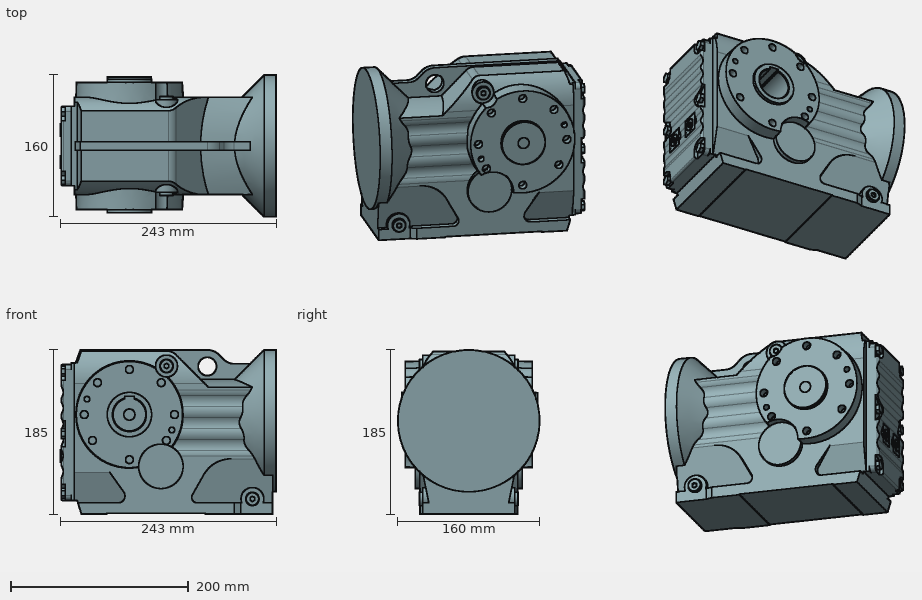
import cadquery as cq
import math


half_width = 55.0
front_x = -62.0
rear_x = 161.4
base_z = -112.0
top_z = 71.2
ledge_z = 58.0
ledge_x = -58.8
foot_top_z = -97.0
foot_front_x = -54.2
roof_front_x = -54.2
roof_half_width = 39.5
shoulder_z = 35.2
shoulder_radius = 50.0
roof_end_x = 48.5
roof_end_radius = 11.7
neck_start_x = 73.0
neck_edge_z = 30.9
neck_crown_z = 39.5
base_relief = 0.7
base_relief_start_x = -25.3
base_relief_end_x = 85.5

pocket_bottom_z = -99.5
pocket_depth = 10.0
front_pocket_top_z = -65.1
front_pocket_top_x = -22.0
front_pocket_bottom_x = 2.5
front_pocket_corner_radius = 7.8
rear_pocket_top_z = -49.8
rear_pocket_top_x = 93.8
rear_pocket_bottom_x = 65.9
rear_pocket_corner_radius = 6.0
rear_pocket_arc_radius = 35.2
foot_step = 3.0
foot_step_start_x = 118.0
foot_step_end_x = 125.5
foot_step_top_z = -85.0

side_wave_top_z = 28.0
side_wave_pitch = 24.8
side_wave_depth = 3.0
side_wave_count = 3
side_wave_start_x = 36.5

flange_z = -7.0
flange_radius = 80.0
flange_front_x = 151.6
flange_rear_x = 165.2
cone_small_radius = 39.0

lug_thickness = 10.0
lug_top_z = 73.0
lug_front_x = -60.8
lug_top_front_x = -55.2
lug_low_z = 57.3
lug_end_x = 137.5
lug_hole_x = 87.7
lug_hole_radius = 10.2
lug_fillet_radius = 16.0
lug_outer_radius = 18.7
lug_hole_z = lug_top_z - lug_outer_radius

boss_radius = 59.8
boss_face_y = 71.7
boss_draft = 2.0
hub_radius = 25.0
hub_face_y = 75.3
cap_face_y = 77.8
cap_radius = hub_radius - 0.2
cap_dimple_radius = 6.3
cap_dimple_depth = 1.2
bore_radius = 18.5
bore_chamfer = 0.7
key_width = 10.5
key_top_z = 21.0
bolt_circle_radius = 50.8
tapped_hole_radius = 4.4
tapped_hole_angles = (-145, -90, -35, 0, 45, 90, 135, 180)
pin_hole_radius = 3.2
pin_hole_angles = (-20, 160)
boss_hole_depth = 12.2

disc_x = 35.5
disc_z = -58.3
disc_radius = 25.0
disc_face_y = 60.5
plug_face_y = 56.0
plug_radius = 7.5
plug_chamfer = 0.5
socket_width = 5.0
socket_depth = 2.0
plug_seat_y = half_width - foot_step
upper_plug_x = 41.8
upper_plug_z = 54.7
upper_seat_radius = 12.5
lower_plug_x = 138.5
lower_plug_z = -95.0
lower_seat_radius = 13.0

cover_half_width = 45.0
cover_plate_x = -65.5
cover_top_z = 56.5
cover_face_x = -76.8
cover_corner_radius = 5.8
cover_edge_radius = 2.5
cover_wave_top_z = 34.0
cover_wave_low_z = -73.1
cover_wave_depth = 2.2
cover_wave_count = 6
cover_wave_pitch = (cover_wave_top_z - cover_wave_low_z) / cover_wave_count
cover_bolt_y = 38.5
cover_bolt_top_z = 48.8
cover_bolt_mid_z = -21.6
cover_bolt_low_z = -88.7
bolt_width = 10.0
seat_x = -72.5
seat_radius = 10.0
mid_seat_half_height = 14.8
cover_plug_y = 18.2
cover_plug_z = -47.0
cover_plug_radius = 7.0
cover_plug_face_x = -77.8
pad_size = 21.5
pad_base_x = -73.0

margin = 12.2


def both_sides(solid):
    """The solid together with its mirror image across the mid-plane."""
    return solid.union(solid.mirror("XZ"))


def side_cylinder(x, z, radius, start_y, end_y):
    """Cylinder on the -Y side, between two distances from the mid-plane."""
    plane = cq.Workplane("XZ", origin=(0, -start_y, 0))
    return plane.center(x, z).circle(radius).extrude(end_y - start_y)


def hexagon(plane, width, length):
    """Hexagonal prism of a given width across flats, one corner upwards."""
    return plane.transformed(rotate=(0, 0, 90)).polygon(6, width / math.cos(math.pi / 6)).extrude(length)


def wave_groove(plane, locate, start, pitch, depth):
    """Outline of one rounded groove; locate(along, down) maps onto the sketch plane."""
    quarter = pitch / 4
    half_depth = depth / 2
    radius = (quarter**2 + half_depth**2) / depth
    half_angle = math.asin(quarter / radius) / 2
    run = radius * math.sin(half_angle)
    drop = radius * (1 - math.cos(half_angle))
    return (
        plane.moveTo(*locate(start, -margin))
        .lineTo(*locate(start, 0))
        .threePointArc(locate(start + run, drop), locate(start + quarter, half_depth))
        .threePointArc(locate(start + 2 * quarter, depth), locate(start + 3 * quarter, half_depth))
        .threePointArc(locate(start + pitch - run, drop), locate(start + pitch, 0))
        .lineTo(*locate(start + pitch, -margin))
        .close()
    )


def make_housing():
    """Sloped gear case with the lower, crowned neck behind it."""
    roof_tangent = roof_end_radius * math.tan(math.pi / 8)
    roof_drop = roof_end_radius * (1 - math.cos(math.pi / 4))
    slope_start = roof_end_x + roof_tangent * math.cos(math.pi / 4)
    roof_arc_x = roof_end_x - roof_tangent
    roof_mid = (
        roof_arc_x + roof_end_radius * math.sin(math.pi / 8),
        top_z - roof_end_radius * (1 - math.cos(math.pi / 8)),
    )
    slope_bottom_x = roof_end_x + top_z
    side_outline = (
        cq.Workplane("XZ", origin=(0, half_width, 0))
        .moveTo(front_x, foot_top_z)
        .lineTo(front_x, ledge_z)
        .lineTo(ledge_x, ledge_z)
        .lineTo(roof_front_x, top_z)
        .lineTo(roof_arc_x, top_z)
        .threePointArc(roof_mid, (slope_start, top_z - roof_drop))
        .lineTo(slope_bottom_x, 0)
        .lineTo(rear_x, 0)
        .lineTo(rear_x, base_z)
        .lineTo(base_relief_end_x, base_z)
        .lineTo(base_relief_end_x, base_z + base_relief)
        .lineTo(base_relief_start_x, base_z + base_relief)
        .lineTo(base_relief_start_x, base_z)
        .lineTo(foot_front_x, base_z)
        .lineTo(ledge_x, foot_top_z)
        .close()
        .extrude(2 * half_width)
    )
    cross_section = (
        cq.Workplane("YZ", origin=(front_x, 0, 0))
        .moveTo(-half_width, base_z)
        .lineTo(half_width, base_z)
        .lineTo(half_width, shoulder_z)
        .radiusArc((roof_half_width, top_z), -shoulder_radius)
        .lineTo(-roof_half_width, top_z)
        .radiusArc((-half_width, shoulder_z), -shoulder_radius)
        .close()
        .extrude(rear_x - front_x)
    )
    neck = (
        cq.Workplane("YZ", origin=(neck_start_x, 0, 0))
        .moveTo(-half_width, -margin)
        .lineTo(half_width, -margin)
        .lineTo(half_width, neck_edge_z)
        .threePointArc((0, neck_crown_z), (-half_width, neck_edge_z))
        .close()
        .extrude(rear_x - neck_start_x)
    )
    return side_outline.intersect(cross_section).union(neck)


def make_sloped_floor(top):
    """Wedge outside a floor that sinks from the side face at the given height."""
    return (
        cq.Workplane("YZ", origin=(front_x - margin, 0, 0))
        .moveTo(-half_width, top)
        .lineTo(pocket_depth - half_width, pocket_bottom_z)
        .lineTo(-half_width - margin, pocket_bottom_z)
        .lineTo(-half_width - margin, top)
        .close()
        .extrude(rear_x - front_x + 2 * margin)
    )


def make_pocket(end_x, top_x, bottom_x, top, corner_radius, top_radius=None):
    """Side pocket open at end_x, closed by a slanted wall with a rounded lower corner."""
    outline = (
        cq.Workplane("XZ")
        .polyline([(end_x, top), (top_x, top), (bottom_x, pocket_bottom_z), (end_x, pocket_bottom_z)])
        .close()
        .extrude(half_width + margin)
    )
    corner = cq.selectors.NearestToPointSelector((bottom_x, -half_width / 2, pocket_bottom_z))
    outline = outline.edges("|Y").edges(corner).fillet(corner_radius)
    if top_radius:
        corner = cq.selectors.NearestToPointSelector((top_x, -half_width / 2, top))
        outline = outline.edges("|Y").edges(corner).fillet(top_radius)
    return outline.intersect(make_sloped_floor(top))


def make_foot_step():
    """Shallow step with a bevelled start along the rear part of the foot."""
    return (
        cq.Workplane("XY", origin=(0, 0, base_z - margin))
        .moveTo(foot_step_start_x, -half_width)
        .lineTo(foot_step_end_x, -plug_seat_y)
        .lineTo(rear_x + margin, -plug_seat_y)
        .lineTo(rear_x + margin, -half_width - margin)
        .lineTo(foot_step_start_x, -half_width - margin)
        .close()
        .extrude(foot_step_top_z - base_z + margin)
    )


def make_side_waves():
    """Rounded grooves that run along the neck."""

    def locate(along, down):
        return (down - half_width, side_wave_top_z - along)

    waves = cq.Workplane("XY")
    for index in range(side_wave_count):
        plane = cq.Workplane("YZ", origin=(side_wave_start_x, 0, 0))
        groove = wave_groove(plane, locate, index * side_wave_pitch, side_wave_pitch, side_wave_depth)
        waves = waves.add(groove.extrude(rear_x - side_wave_start_x))
    return waves.combine()


def make_flange():
    """Round motor flange carried by a 45 degree cone."""
    cone_x = flange_front_x - (flange_radius - cone_small_radius)
    return (
        cq.Workplane("XZ")
        .moveTo(cone_x, flange_z)
        .lineTo(cone_x, flange_z + cone_small_radius)
        .lineTo(flange_front_x, flange_z + flange_radius)
        .lineTo(flange_rear_x, flange_z + flange_radius)
        .lineTo(flange_rear_x, flange_z)
        .close()
        .revolve(360, (0, flange_z, 0), (1, flange_z, 0))
    )


def make_lug():
    """Central lifting rib with an eye; its rear end drops at 45 degrees."""
    half = math.sin(math.pi / 8)
    full = math.sin(math.pi / 4)
    outer = lug_outer_radius
    inner = lug_fillet_radius
    slope_start = (lug_hole_x + outer * full, lug_hole_z + outer * full)
    slope_drop = slope_start[1] - lug_low_z - inner * (1 - full)
    slope_end = (slope_start[0] + slope_drop, slope_start[1] - slope_drop)
    fillet_end_x = slope_end[0] + inner * full
    outer_mid = (lug_hole_x + outer * half, lug_hole_z + outer * math.cos(math.pi / 8))
    inner_mid = (fillet_end_x - inner * half, lug_low_z + inner * (1 - math.cos(math.pi / 8)))
    plate = (
        cq.Workplane("XZ", origin=(0, lug_thickness / 2, 0))
        .moveTo(lug_front_x, ledge_z)
        .lineTo(lug_top_front_x, lug_top_z)
        .lineTo(lug_hole_x, lug_top_z)
        .threePointArc(outer_mid, slope_start)
        .lineTo(*slope_end)
        .threePointArc(inner_mid, (fillet_end_x, lug_low_z))
        .lineTo(lug_end_x, lug_low_z)
        .lineTo(lug_end_x, 0)
        .lineTo(ledge_x, 0)
        .lineTo(ledge_x, ledge_z)
        .close()
        .extrude(lug_thickness)
    )
    eye = side_cylinder(lug_hole_x, lug_hole_z, lug_hole_radius, -lug_thickness, lug_thickness)
    return plate.cut(eye)


def make_boss():
    """Output boss of one side with its ring of blind holes."""
    face_plane = cq.Workplane("XZ", origin=(0, -boss_face_y, 0))
    boss = face_plane.circle(boss_radius).extrude(-boss_face_y, taper=-boss_draft)
    boss = boss.union(side_cylinder(0, 0, hub_radius, 0, hub_face_y))
    patterns = ((tapped_hole_angles, tapped_hole_radius), (pin_hole_angles, pin_hole_radius))
    for angles, radius in patterns:
        for angle in angles:
            x = bolt_circle_radius * math.cos(math.radians(angle))
            z = bolt_circle_radius * math.sin(math.radians(angle))
            hole = side_cylinder(x, z, radius, boss_face_y - boss_hole_depth, boss_face_y)
            boss = boss.cut(hole)
    return boss


def make_plug(x, z):
    """Chamfered oil plug with a hexagon socket."""
    plug = side_cylinder(x, z, plug_radius, plug_seat_y - margin, plug_face_y)
    plug = plug.faces("<Y").chamfer(plug_chamfer)
    socket_plane = cq.Workplane("XZ", origin=(x, socket_depth - plug_face_y, z))
    return plug.cut(hexagon(socket_plane, socket_width, socket_depth))


def make_clearances():
    """Space in front of the disc and the upper plug, which overlap the boss rim."""
    clearance = side_cylinder(disc_x, disc_z, disc_radius, disc_face_y, boss_face_y)
    seat = side_cylinder(upper_plug_x, upper_plug_z, upper_seat_radius, plug_seat_y, boss_face_y)
    return clearance.union(seat)


def make_side_details():
    """Disc and plug seats of one side."""
    details = side_cylinder(disc_x, disc_z, disc_radius, 0, disc_face_y)
    details = details.union(side_cylinder(upper_plug_x, upper_plug_z, upper_seat_radius, 0, plug_seat_y))
    return details.union(side_cylinder(lower_plug_x, lower_plug_z, lower_seat_radius, 0, plug_seat_y))


def make_bore():
    """Keyed bore, open at -Y and closed by the cap at +Y."""
    bore = side_cylinder(0, 0, bore_radius, -hub_face_y, hub_face_y)
    mouth = cq.Workplane("XZ", origin=(0, -hub_face_y, 0)).circle(bore_radius + bore_chamfer)
    mouth = mouth.extrude(-bore_chamfer, taper=45)
    keyway = cq.Workplane("XY").box(key_width, 2 * hub_face_y, key_top_z, centered=(True, True, False))
    dimple = side_cylinder(0, 0, cap_dimple_radius, -hub_face_y - cap_dimple_depth, -hub_face_y)
    return bore.union(mouth).union(keyway).union(dimple)


def make_seat(y, z, outer_z):
    """Sunken bolt seat, open to the side and to the cover edge at outer_z."""
    plane = cq.Workplane("YZ", origin=(seat_x, y, z))
    depth = cover_face_x - seat_x
    side = math.copysign(1, y)
    seat = plane.circle(seat_radius).extrude(depth)
    if outer_z is None:
        edge = cover_half_width - cover_bolt_y
        tangent = math.atan2(mid_seat_half_height, edge)
        tangent += math.acos(seat_radius / math.hypot(edge, mid_seat_half_height))
        touch = (side * seat_radius * math.cos(tangent), seat_radius * math.sin(tangent))
        flare = [
            (side * edge, mid_seat_half_height),
            touch,
            (touch[0], -touch[1]),
            (side * edge, -mid_seat_half_height),
        ]
        return seat.union(plane.polyline(flare).close().extrude(depth))
    rise = outer_z - z
    towards_edge = [
        (-side * seat_radius, 0),
        (-side * seat_radius, rise),
        (side * seat_radius, rise),
        (side * seat_radius, -math.copysign(seat_radius, rise)),
        (0, -math.copysign(seat_radius, rise)),
        (0, 0),
    ]
    return seat.union(plane.polyline(towards_edge).close().extrude(depth))


def make_cover():
    """Ribbed front cover with six bolts and two plugs."""
    height = cover_top_z - foot_top_z
    body = (
        cq.Workplane("YZ", origin=(cover_plate_x, 0, (cover_top_z + foot_top_z) / 2))
        .rect(2 * cover_half_width, height)
        .extrude(cover_face_x - cover_plate_x)
        .edges("|X")
        .fillet(cover_corner_radius)
        .faces("<X")
        .edges()
        .fillet(cover_edge_radius)
    )

    def locate(along, down):
        return (cover_face_x + down, cover_wave_top_z - along)

    for index in range(cover_wave_count):
        plane = cq.Workplane("XZ", origin=(0, cover_half_width, 0))
        groove = wave_groove(plane, locate, index * cover_wave_pitch, cover_wave_pitch, cover_wave_depth)
        body = body.cut(groove.extrude(2 * cover_half_width))

    bolt_rows = (
        (cover_bolt_top_z, cover_top_z),
        (cover_bolt_mid_z, None),
        (cover_bolt_low_z, foot_top_z),
    )
    for z, outer_z in bolt_rows:
        for y in (-cover_bolt_y, cover_bolt_y):
            bolt_plane = cq.Workplane("YZ", origin=(seat_x, y, z))
            body = body.cut(make_seat(y, z, outer_z))
            body = body.union(hexagon(bolt_plane, bolt_width, cover_face_x - seat_x))

    for y in (-cover_plug_y, cover_plug_y):
        pad_plane = cq.Workplane("YZ", origin=(pad_base_x, y, cover_plug_z))
        socket_plane = cq.Workplane("YZ", origin=(cover_plug_face_x, y, cover_plug_z))
        body = body.union(pad_plane.rect(pad_size, pad_size).extrude(cover_face_x - pad_base_x))
        body = body.union(pad_plane.circle(cover_plug_radius).extrude(cover_plug_face_x - pad_base_x))
        body = body.cut(hexagon(socket_plane, socket_width, socket_depth))

    plate = (
        cq.Workplane("YZ", origin=(front_x, 0, (ledge_z + foot_top_z) / 2))
        .rect(2 * cover_half_width, ledge_z - foot_top_z)
        .extrude(cover_plate_x - front_x)
    )
    return body.union(plate)


housing = make_housing()
front_pocket = make_pocket(
    front_x - margin,
    front_pocket_top_x,
    front_pocket_bottom_x,
    front_pocket_top_z,
    front_pocket_corner_radius,
)
rear_pocket = make_pocket(
    rear_x + margin,
    rear_pocket_top_x,
    rear_pocket_bottom_x,
    rear_pocket_top_z,
    rear_pocket_corner_radius,
    rear_pocket_arc_radius,
)
for cutter in (front_pocket, rear_pocket, make_foot_step(), make_side_waves()):
    housing = housing.cut(both_sides(cutter))

result = housing.union(make_flange()).union(make_lug())
result = result.union(both_sides(make_boss())).cut(both_sides(make_clearances()))
result = result.union(both_sides(make_side_details()))
for plug_x, plug_z in ((upper_plug_x, upper_plug_z), (lower_plug_x, lower_plug_z)):
    result = result.union(both_sides(make_plug(plug_x, plug_z)))
result = result.union(side_cylinder(0, 0, cap_radius, -cap_face_y, 0))
result = result.cut(make_bore())
result = result.union(make_cover())